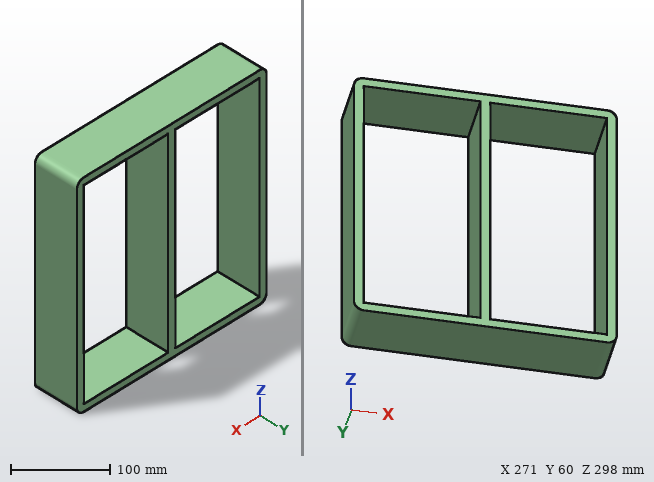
import cadquery as cq

width = 271.0
depth = 60.0
height = 298.0

wall = 10.0
corner_radius = wall

opening_width = (width - 3 * wall) / 2
opening_height = height - 2 * wall
opening_offset = (opening_width + wall) / 2


def rounded_block():
    """Solid outer block, with its four corners rounded along the depth."""
    return cq.Workplane("XY").box(width, depth, height).edges("|Y").fillet(corner_radius)


def openings():
    """Cutters for the two rectangular openings through the depth."""
    return (
        cq.Workplane("XY")
        .pushPoints([(-opening_offset, 0), (opening_offset, 0)])
        .box(opening_width, depth, opening_height)
    )


result = rounded_block().cut(openings())